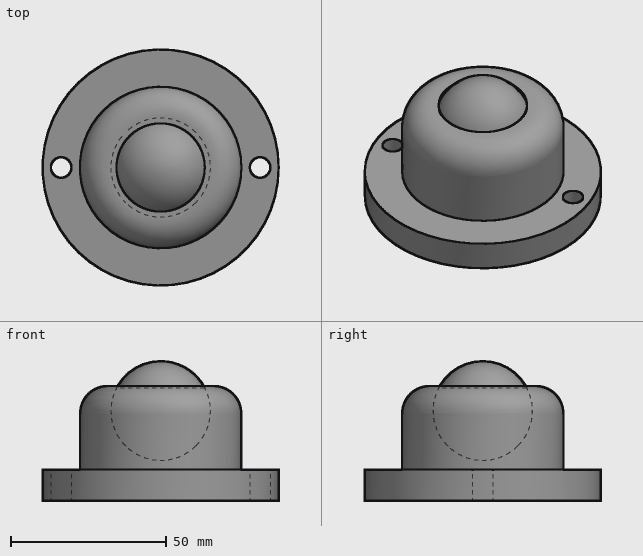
import cadquery as cq

total_height = 45.0

flange_diameter = 76.0
flange_thickness = 10.0
cup_diameter = 52.0
housing_height = 37.0
shoulder_radius = 9.0

ball_diameter = 32.0
mouth_diameter = 28.4
ball_center_z = total_height - ball_diameter / 2

mounting_hole_diameter = 6.5
mounting_hole_spacing = 64.0


def make_ball():
    """Full sphere whose top is the highest point of the part."""
    return cq.Workplane("XY").sphere(ball_diameter / 2).translate((0, 0, ball_center_z))


def make_mouth():
    """Straight round opening from the ball's middle up through the top of the housing."""
    return (
        cq.Workplane("XY")
        .workplane(offset=ball_center_z)
        .circle(mouth_diameter / 2)
        .extrude(housing_height - ball_center_z)
    )


def make_housing():
    """Flanged cup with a spherical seat that matches the ball and is narrower at the mouth."""
    flange = cq.Workplane("XY").circle(flange_diameter / 2).extrude(flange_thickness)
    cup = (
        cq.Workplane("XY")
        .circle(cup_diameter / 2)
        .extrude(housing_height)
        .faces(">Z")
        .edges()
        .fillet(shoulder_radius)
    )
    mounting_holes = (
        cq.Workplane("XY")
        .rarray(mounting_hole_spacing, 0.75, 2, 1)
        .circle(mounting_hole_diameter / 2)
        .extrude(flange_thickness)
    )
    return flange.union(cup).cut(mounting_holes).cut(make_mouth()).cut(make_ball())


housing = make_housing()
ball = make_ball()

result = cq.Compound.makeCompound([housing.solids().val(), ball.val()])